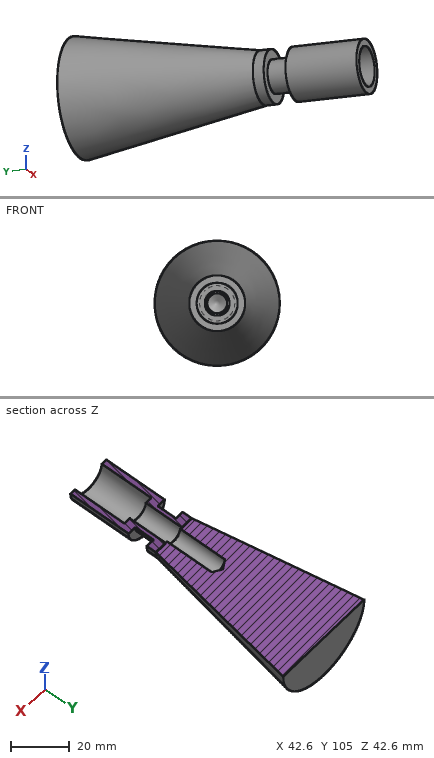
import cadquery as cq
import math

TOTAL_LENGTH = 105.0
SLEEVE_LENGTH = 26.0
NECK_LENGTH = 8.0
COLLAR_LENGTH = 4.0
FITTING_LENGTH = SLEEVE_LENGTH + NECK_LENGTH + COLLAR_LENGTH
HANDLE_LENGTH = TOTAL_LENGTH - FITTING_LENGTH

HANDLE_END_DIAMETER = 42.6
FITTING_DIAMETER = 19.0
NECK_DIAMETER = 12.0

SOCKET_DIAMETER = 14.0
SOCKET_FLOOR = 4.0
SOCKET_DEPTH = SLEEVE_LENGTH - SOCKET_FLOOR
CLEARANCE_DIAMETER = 8.4

PILOT_DIAMETER = 6.8
PILOT_DEPTH = 20.0
DRILL_POINT_ANGLE = 118.0
DRILL_TIP_LENGTH = PILOT_DIAMETER / 2 / math.tan(math.radians(DRILL_POINT_ANGLE / 2))


def revolve_about_y(profile):
    """Turn a closed (radius, y) profile around the Y axis."""
    return cq.Workplane("XY").polyline(profile).close().revolve(360, (0, 0), (0, 1))


def cylinder_along_y(diameter, start, length):
    """Solid cylinder on the Y axis, running towards +Y from start."""
    base = cq.Workplane("XZ", origin=(0, start, 0))
    return base.circle(diameter / 2).extrude(-length)


def make_handle():
    """Tapered handle with a drilled blind hole in its narrow end."""
    blank = revolve_about_y([
        (0, FITTING_LENGTH),
        (FITTING_DIAMETER / 2, FITTING_LENGTH),
        (HANDLE_END_DIAMETER / 2, TOTAL_LENGTH),
        (0, TOTAL_LENGTH),
    ])
    pilot_end = FITTING_LENGTH + PILOT_DEPTH
    pilot_hole = revolve_about_y([
        (0, FITTING_LENGTH),
        (PILOT_DIAMETER / 2, FITTING_LENGTH),
        (PILOT_DIAMETER / 2, pilot_end),
        (0, pilot_end + DRILL_TIP_LENGTH),
    ])
    return blank.cut(pilot_hole)


def make_fitting():
    """Sleeve, neck and collar in one piece, with a stepped through bore."""
    collar_start = SLEEVE_LENGTH + NECK_LENGTH
    sleeve = cylinder_along_y(FITTING_DIAMETER, 0, SLEEVE_LENGTH)
    neck = cylinder_along_y(NECK_DIAMETER, SLEEVE_LENGTH, NECK_LENGTH)
    collar = cylinder_along_y(FITTING_DIAMETER, collar_start, COLLAR_LENGTH)
    socket = cylinder_along_y(SOCKET_DIAMETER, 0, SOCKET_DEPTH)
    clearance_hole = cylinder_along_y(CLEARANCE_DIAMETER, 0, FITTING_LENGTH)
    return sleeve.union(neck).union(collar).cut(socket).cut(clearance_hole)


handle = make_handle()
fitting = make_fitting()

result = cq.Compound.makeCompound([handle.val(), fitting.val()])